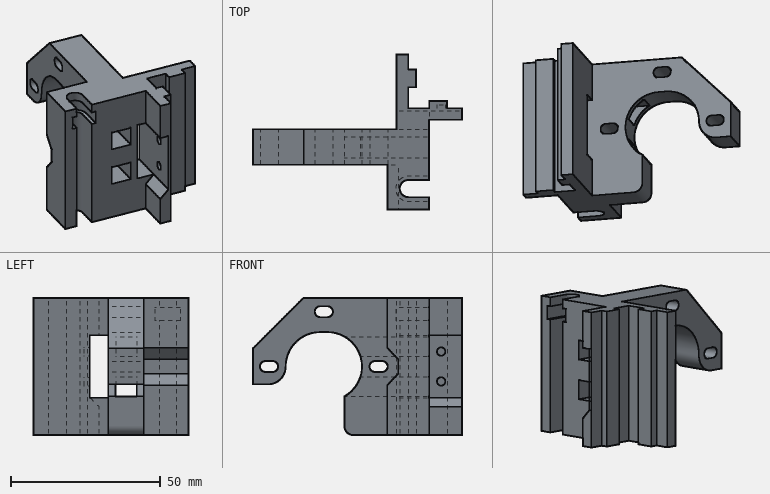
import cadquery as cq
import math

LENGTH = 70.0
DEPTH = 52.0
HEIGHT = 46.0
MID_Z = HEIGHT / 2

BLOCK_LEFT = 45.0
BLOCK_RIGHT = 59.0

ARM_FRONT = 15.0
ARM_BACK = 26.95
ARM_CORNER_CUT = 16.95

WALL = 4.0
LEG_LEFT = 48.0
LEG_RIGHT = LEG_LEFT + WALL
FLANGE_BACK = 34.0
FLANGE_FRONT = FLANGE_BACK - WALL
KEY_WIDTH = 6.0
LEG_KEY_HEIGHT = 2.6
FLANGE_KEY_HEIGHT = 2.4
LEG_KEY_FRONT = 40.95

MOTOR_X = 23.7
BORE_RADIUS = 11.5
BORE_HALF_WIDTH = 12.75
SLOT_SPACING = 18.35
SLOT_LENGTH = 6.0
SLOT_WIDTH = 3.6
HOOK_RADIUS = 6.0
LOBE_LEFT = 30.6
LOBE_FILLET = 3.0

GROOVE_DEPTH = 3.6
GROOVE_HALF_MOUTH = 6.2
GROOVE_HALF_FLOOR = 2.45

SCREW_X = 52.0
SCREW_Y = 7.1
SCREW_SLOT_WIDTH = 5.7
NUT_SLOT_WIDTH = 8.55
NUT_COVER = 3.1
NUT_POCKET_HEIGHT = 4.5

TUNNEL_FRONT = 17.4
TUNNEL_WIDTH = 7.0
TUNNEL_INNER = 3.5
TUNNEL_OUTER = 10.0

RECESS_HALF_HEIGHT = 10.4
RECESS_DEPTH = 3.0
RECESS_BACK = FLANGE_FRONT + RECESS_DEPTH
SWITCH_HOLE_DIAMETER = 2.8
SWITCH_HOLE_X = 63.0
SWITCH_HOLE_SPACING = 10.0
SWITCH_HOLE_DEPTH = 2.1


def box(x0, x1, y0, y1, z0, z1):
    """Box between two opposite corners."""
    return cq.Workplane("XY").box(x1 - x0, y1 - y0, z1 - z0, centered=False).translate((x0, y0, z0))


def front_plane(y):
    """XZ sketch plane at the given y, facing -Y; negative extrusion runs towards +Y."""
    return cq.Workplane(cq.Plane(origin=(0, y, 0), xDir=(1, 0, 0), normal=(0, -1, 0)))


def make_frame():
    """Full-height block, leg, flange and their keys."""
    block = box(BLOCK_LEFT, BLOCK_RIGHT, 0, ARM_BACK, 0, HEIGHT)
    core = box(LEG_LEFT, BLOCK_RIGHT, ARM_BACK, FLANGE_BACK, 0, HEIGHT)
    leg = box(LEG_LEFT, LEG_RIGHT, FLANGE_BACK, DEPTH, 0, HEIGHT)
    flange = box(BLOCK_RIGHT, LENGTH, FLANGE_FRONT, FLANGE_BACK, 0, HEIGHT)
    leg_key = box(LEG_RIGHT, LEG_RIGHT + LEG_KEY_HEIGHT, LEG_KEY_FRONT, LEG_KEY_FRONT + KEY_WIDTH, 0, HEIGHT)
    flange_key = box(
        BLOCK_RIGHT, BLOCK_RIGHT + KEY_WIDTH, FLANGE_BACK, FLANGE_BACK + FLANGE_KEY_HEIGHT, 0, HEIGHT
    )
    return block.union(core).union(leg).union(flange).union(leg_key).union(flange_key)


def make_arm():
    """Hook-shaped motor plate with a stretched round opening."""
    bore_shift = BORE_HALF_WIDTH - BORE_RADIUS
    bore_top = MID_Z + BORE_RADIUS
    right_center = MOTOR_X + bore_shift
    lobe_top = MID_Z - math.sqrt(BORE_RADIUS**2 - (LOBE_LEFT - right_center) ** 2)
    bore_left = MOTOR_X - BORE_HALF_WIDTH
    hook_center = bore_left - HOOK_RADIUS
    diagonal = math.sqrt(0.5)
    outline = (
        front_plane(ARM_FRONT)
        .moveTo(0, MID_Z - HOOK_RADIUS)
        .lineTo(0, HEIGHT - ARM_CORNER_CUT)
        .lineTo(ARM_CORNER_CUT, HEIGHT)
        .lineTo(LEG_LEFT, HEIGHT)
        .lineTo(LEG_LEFT, 0)
        .lineTo(LOBE_LEFT + LOBE_FILLET, 0)
        .radiusArc((LOBE_LEFT, LOBE_FILLET), LOBE_FILLET)
        .lineTo(LOBE_LEFT, lobe_top)
        .threePointArc((right_center + BORE_RADIUS, MID_Z), (right_center, bore_top))
        .lineTo(MOTOR_X - bore_shift, bore_top)
        .threePointArc(
            (MOTOR_X - bore_shift - BORE_RADIUS * diagonal, MID_Z + BORE_RADIUS * diagonal),
            (bore_left, MID_Z),
        )
        .threePointArc(
            (hook_center + HOOK_RADIUS * diagonal, MID_Z - HOOK_RADIUS * diagonal),
            (hook_center, MID_Z - HOOK_RADIUS),
        )
        .close()
    )
    return outline.extrude(ARM_FRONT - ARM_BACK)


def make_mounting_slots():
    """Left, top and right motor screw slots through the arm."""
    centers = [
        (MOTOR_X - SLOT_SPACING, MID_Z),
        (MOTOR_X, MID_Z + SLOT_SPACING),
        (MOTOR_X + SLOT_SPACING, MID_Z),
    ]
    sketch = front_plane(ARM_FRONT).pushPoints(centers).slot2D(SLOT_LENGTH, SLOT_WIDTH)
    return sketch.extrude(ARM_FRONT - ARM_BACK)


def make_groove():
    """Tapered groove in the block's left face, ending at the arm."""
    profile = [
        (BLOCK_LEFT, MID_Z - GROOVE_HALF_MOUTH),
        (BLOCK_LEFT + GROOVE_DEPTH, MID_Z - GROOVE_HALF_FLOOR),
        (BLOCK_LEFT + GROOVE_DEPTH, MID_Z + GROOVE_HALF_FLOOR),
        (BLOCK_LEFT, MID_Z + GROOVE_HALF_MOUTH),
    ]
    return front_plane(0).polyline(profile).close().extrude(-ARM_FRONT)


def make_open_slot(width, z0, z1):
    """Round-ended vertical slot, open at the block's right face."""
    round_end = cq.Workplane("XY", origin=(SCREW_X, SCREW_Y, z0)).circle(width / 2).extrude(z1 - z0)
    return round_end.union(box(SCREW_X, BLOCK_RIGHT, SCREW_Y - width / 2, SCREW_Y + width / 2, z0, z1))


def make_tunnel(z0, z1):
    """Rectangular passage along X from the bore to the block's right face."""
    return box(MOTOR_X, BLOCK_RIGHT, TUNNEL_FRONT, TUNNEL_FRONT + TUNNEL_WIDTH, z0, z1)


def make_switch_recess():
    """Window through the leg that continues as a flange recess with a 45 degree bottom edge."""
    bottom = MID_Z - RECESS_HALF_HEIGHT
    top = MID_Z + RECESS_HALF_HEIGHT
    window = box(LEG_LEFT, LENGTH, ARM_BACK, RECESS_BACK, bottom, top)
    ramp = (
        cq.Workplane("YZ", origin=(BLOCK_RIGHT, 0, 0))
        .polyline([(RECESS_BACK, bottom), (FLANGE_FRONT, bottom), (FLANGE_FRONT, bottom - RECESS_DEPTH)])
        .close()
        .extrude(LENGTH - BLOCK_RIGHT)
    )
    return window.union(ramp)


def make_switch_holes():
    """Two blind screw holes in the recess floor."""
    centers = [(SWITCH_HOLE_X, MID_Z + side * SWITCH_HOLE_SPACING / 2) for side in (-1, 1)]
    sketch = front_plane(RECESS_BACK).pushPoints(centers).circle(SWITCH_HOLE_DIAMETER / 2)
    return sketch.extrude(-SWITCH_HOLE_DEPTH)


nut_top = HEIGHT - NUT_COVER

result = (
    make_frame()
    .cut(make_groove())
    .union(make_arm())
    .cut(make_mounting_slots())
    .cut(make_open_slot(SCREW_SLOT_WIDTH, 0, HEIGHT))
    .cut(make_open_slot(NUT_SLOT_WIDTH, nut_top - NUT_POCKET_HEIGHT, nut_top))
    .cut(make_tunnel(MID_Z - TUNNEL_OUTER, MID_Z - TUNNEL_INNER))
    .cut(make_tunnel(MID_Z + TUNNEL_INNER, MID_Z + TUNNEL_OUTER))
    .cut(make_switch_recess())
    .cut(make_switch_holes())
)